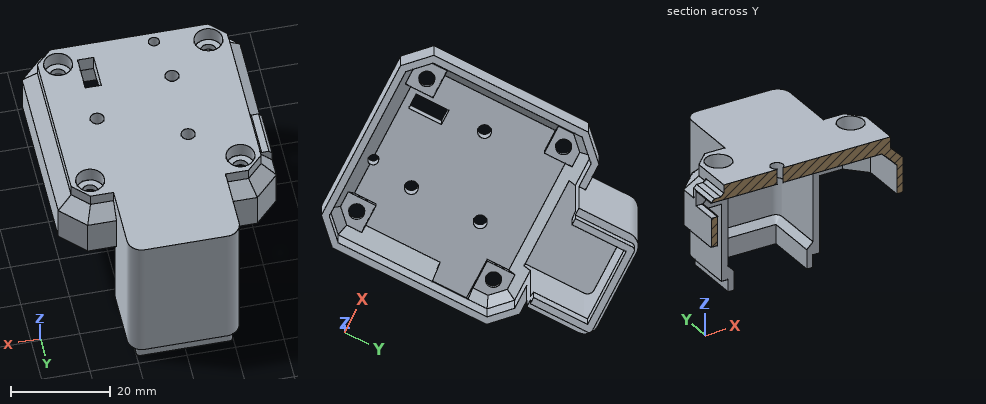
import cadquery as cq
import math

BODY_SIDE = 45.0
BODY_CORNER = 5.0
BODY_HEIGHT = 13.7
SLOPE_START = 8.2
SLOPE = 2.9
SLOPE_ANGLE = 45
WALL = 1.5
ROOF = 3.5

TOWER_WIDTH = 23.1
TOWER_BACK = 35.6
TOWER_RADIUS = 3.0
TOWER_SIDE_WALL = 1.6
TOWER_BACK_WALL = 0.9
TOWER_SHOULDER = -17.8
LIP_HEIGHT = 2.9
LIP_WALL = 1.45
POCKET_RADIUS = 1.5
LIP_RADIUS = 0.8
SILL_RISE = 1.6

SCREW_SPACING = 31.0
SCREW_HOLE = 3.2
SCREW_HEAD = 5.8
SCREW_HEAD_DEPTH = 3.4
SCREW_FLOOR = 1.5
POST_EDGE = 12.6

ROOF_HOLES = [(-6.35, 7.8, 2.8), (-6.35, -7.8, 2.8), (10.75, 0.0, 2.8), (-4.65, -17.3, 2.2)]
ROOF_SLOT_X = 9.75
ROOF_SLOT_Y = -12.1
ROOF_SLOT_WIDTH = 3.3
ROOF_SLOT_LENGTH = 7.4

WINDOW_Y = 8.5
WINDOW_WIDTH = 8.1
WINDOW_BOTTOM = 6.8
HOOD_WIDTH = 10.0
HOOD_CHAMFER = 0.7

HALF = BODY_SIDE / 2
PLATE_BOTTOM = SLOPE_START + SLOPE
TOWER_FRONT = HALF - WALL
LIP_BOTTOM = TOWER_SHOULDER - LIP_HEIGHT
LIP_WIDTH = TOWER_WIDTH - 2 * TOWER_SIDE_WALL
LIP_BACK = TOWER_BACK - TOWER_BACK_WALL
CEILING = BODY_HEIGHT - ROOF
HEAD_FLOOR = BODY_HEIGHT - SCREW_HEAD_DEPTH
INNER_SLOPE_START = SLOPE_START - WALL


def octagon_prism(inset, bottom, top):
    """Body outline moved inwards by `inset`, as a block between two heights."""
    side = 2 * (HALF - inset)
    corner = BODY_CORNER - inset * (2 - math.sqrt(2))
    block = cq.Workplane("XY").workplane(offset=bottom).rect(side, side).extrude(top - bottom)
    return block.edges("|Z").chamfer(corner)


def octagon_frustum(inset, bottom, height):
    """Octagon that narrows at 45 degrees from `inset` over the given height."""
    base = octagon_prism(inset, bottom, bottom + height).faces("<Z").wires().val()
    return cq.Workplane("XY").add(base).toPending().extrude(height, taper=SLOPE_ANGLE)


def slab(width, front, back, bottom, top, back_radius=0):
    """Upright block between two Y positions, optionally with rounded rear edges."""
    block = cq.Workplane("XY").box(width, back - front, top - bottom, centered=(True, False, False))
    block = block.translate((0, front, bottom))
    if back_radius:
        block = block.edges("|Z and >Y").fillet(back_radius)
    return block


def body():
    """Solid outer form: upright sides, a slope all round, then a smaller top plate."""
    shape = octagon_prism(0, 0, SLOPE_START)
    shape = shape.union(octagon_frustum(0, SLOPE_START, SLOPE))
    return shape.union(octagon_prism(SLOPE, PLATE_BOTTOM, BODY_HEIGHT))


def body_cavity():
    """Hollow open at the underside, with its sides sloping in towards the ceiling."""
    cavity = octagon_prism(WALL, 0, INNER_SLOPE_START)
    return cavity.union(octagon_frustum(WALL, INNER_SLOPE_START, CEILING - INNER_SLOPE_START))


def tower():
    """Outer form of the tower, stepped in to a lip at its lower end."""
    shape = slab(TOWER_WIDTH, TOWER_FRONT, TOWER_BACK, TOWER_SHOULDER, BODY_HEIGHT, TOWER_RADIUS)
    return shape.union(slab(LIP_WIDTH, TOWER_FRONT, LIP_BACK, LIP_BOTTOM, TOWER_SHOULDER, LIP_RADIUS))


def tower_roof():
    """Fills the sloped rear of the body where the tower joins the top plate."""
    return slab(TOWER_WIDTH, HALF - SLOPE, TOWER_BACK - TOWER_RADIUS, SLOPE_START, BODY_HEIGHT)


def tower_cavity():
    """Pocket that narrows at 45 degrees into the opening through the lip."""
    front = HALF - SLOPE
    sill_bottom = TOWER_SHOULDER + SILL_RISE
    pocket = slab(LIP_WIDTH, front, LIP_BACK, sill_bottom, CEILING, POCKET_RADIUS)
    pocket = pocket.faces("<Z").edges("not <Y").chamfer(LIP_WALL)
    lip_opening = slab(LIP_WIDTH - 2 * LIP_WALL, front, LIP_BACK - LIP_WALL, LIP_BOTTOM, sill_bottom)
    return pocket.union(lip_opening)


def hood():
    """Block around the window that fills the slope and leans against the top plate."""
    outer = -HALF
    plate = outer + SLOPE
    points = [
        (plate, SLOPE_START),
        (outer, SLOPE_START),
        (outer, PLATE_BOTTOM - HOOD_CHAMFER),
        (outer + HOOD_CHAMFER, PLATE_BOTTOM),
        (plate - HOOD_CHAMFER, PLATE_BOTTOM),
        (plate, PLATE_BOTTOM + HOOD_CHAMFER),
    ]
    profile = cq.Workplane("XZ", origin=(0, WINDOW_Y, 0)).polyline(points).close()
    return profile.extrude(HOOD_WIDTH / 2, both=True)


def window():
    """Opening through the -X wall, up to the ceiling of the cavity."""
    depth = WALL + CEILING - INNER_SLOPE_START
    height = CEILING - WINDOW_BOTTOM
    block = cq.Workplane("XY").box(depth, WINDOW_WIDTH, height, centered=(False, True, False))
    return block.translate((-HALF, WINDOW_Y, WINDOW_BOTTOM))


def corner_posts():
    """Thickens the roof in each corner to give the screw heads a floor."""
    size = HALF - POST_EDGE
    centre_spacing = HALF + POST_EDGE
    base = cq.Workplane("XY").workplane(offset=HEAD_FLOOR - SCREW_FLOOR)
    corners = base.rect(centre_spacing, centre_spacing, forConstruction=True).vertices()
    return corners.rect(size, size).extrude(BODY_HEIGHT - HEAD_FLOOR + SCREW_FLOOR).intersect(body())


def screw_pins(diameter, bottom, top):
    """Four upright cylinders on the screw positions."""
    pins = cq.Workplane("XY").workplane(offset=bottom).rect(SCREW_SPACING, SCREW_SPACING, forConstruction=True)
    return pins.vertices().circle(diameter / 2).extrude(top - bottom)


def roof_openings():
    """Round holes and one slot through the roof."""
    slot = cq.Workplane("XY").center(ROOF_SLOT_X, ROOF_SLOT_Y).rect(ROOF_SLOT_WIDTH, ROOF_SLOT_LENGTH)
    cut = slot.extrude(BODY_HEIGHT)
    for x, y, diameter in ROOF_HOLES:
        cut = cut.union(cq.Workplane("XY").center(x, y).circle(diameter / 2).extrude(BODY_HEIGHT))
    return cut


result = body().union(tower()).union(tower_roof()).union(hood())
result = result.cut(body_cavity()).cut(tower_cavity())
result = result.union(corner_posts())
result = result.cut(window()).cut(roof_openings())
result = result.cut(screw_pins(SCREW_HOLE, 0, BODY_HEIGHT))
result = result.cut(screw_pins(SCREW_HEAD, HEAD_FLOOR, BODY_HEIGHT))